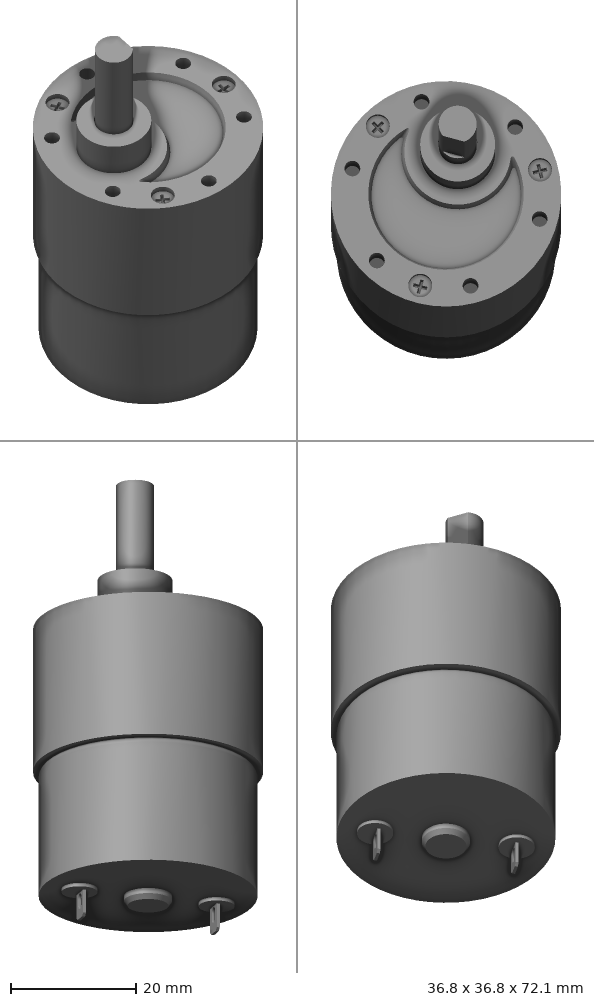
import cadquery as cq


motor_diameter = 35.0
motor_length = 21.0
motor_edge_radius = 1.0
gearbox_diameter = 36.8
gearbox_length = 24.0
gearbox_top = motor_length + gearbox_length

shaft_offset = 7.0
boss_diameter = 12.0
boss_height = 6.0
shaft_diameter = 6.05
shaft_length = 16.0
flat_depth = 0.6
flat_start = 4.0
shaft_clearance = 0.15
clearance_depth = 1.0
boss_top = gearbox_top + boss_height
shaft_top = boss_top + shaft_length

crescent_outer_radius = 12.4
crescent_inner_radius = 8.5
crescent_depth = 1.2
crescent_draft = 0.5
crescent_tip_radius = 0.35

full_turn = 360

hole_circle_radius = 15.5
mounting_hole_count = 6
mounting_hole_diameter = 2.5
mounting_hole_depth = 4.0
screw_count = 3
screw_diameter = 3.8
screw_recess_depth = 1.0
cross_length = 2.3
cross_width = 0.6
cross_depth = 0.7
cross_taper = 15

bearing_diameter = 7.7
bearing_height = 1.65
bearing_chamfer_height = 0.8
bearing_chamfer_width = 0.6

terminal_circle_radius = 11.45
terminal_angle = 34.8
insulator_diameter = 5.8
insulator_height = 0.6
tab_angle = 38.5
tab_inset = 0.3
tab_width = 3.0
tab_thickness = 0.5
tab_corner = 0.5
tab_slot_width = 1.45
tab_slot_length = 2.6
tab_slot_top = 0.8

overall_height = 72.1
long_tab_length = overall_height - shaft_top
tab_length_difference = 0.15
short_tab_length = long_tab_length - tab_length_difference


def cylinder(diameter, height, z, y=0):
    return cq.Workplane("XY", origin=(0, y, z)).circle(diameter / 2).extrude(height)


def motor_can():
    return cylinder(motor_diameter, motor_length, 0).faces(">Z").edges().fillet(motor_edge_radius)


def output_boss():
    boss = cylinder(boss_diameter, boss_height, gearbox_top, y=-shaft_offset)
    clearance = cylinder(
        shaft_diameter + 2 * shaft_clearance, clearance_depth, boss_top - clearance_depth, y=-shaft_offset
    )
    return boss.cut(clearance)


def output_shaft():
    shaft = cylinder(shaft_diameter, shaft_top - gearbox_top, gearbox_top, y=-shaft_offset)
    flat_y = shaft_diameter / 2 - flat_depth - shaft_offset
    flat = cq.Workplane("XY", origin=(0, flat_y, boss_top + flat_start)).box(
        shaft_diameter, 2 * flat_depth, shaft_length, centered=(True, False, False)
    )
    return shaft.cut(flat)


def pocket_cone(floor_radius, top_radius, y=0):
    floor_center = cq.Vector(0, y, gearbox_top - crescent_depth)
    return cq.Workplane(cq.Solid.makeCone(floor_radius, top_radius, crescent_depth, pnt=floor_center))


def crescent_pocket():
    bowl = pocket_cone(crescent_outer_radius - crescent_draft, crescent_outer_radius)
    island = pocket_cone(crescent_inner_radius + crescent_draft, crescent_inner_radius, -shaft_offset)
    crescent = bowl.cut(island)
    edge_margin = crescent_depth / 4
    tips = cq.selectors.BoxSelector(
        (-crescent_outer_radius, -crescent_outer_radius, gearbox_top - crescent_depth + edge_margin),
        (crescent_outer_radius, crescent_outer_radius, gearbox_top - edge_margin),
    )
    return crescent.edges(tips).fillet(crescent_tip_radius)


def cross_socket(z):
    across = cq.Sketch().rect(cross_length, cross_width).rect(cross_width, cross_length).clean()
    return cq.Workplane("XY", origin=(0, 0, z)).placeSketch(across).extrude(-cross_depth, taper=cross_taper)


def screw_recesses():
    floor = gearbox_top - screw_recess_depth
    recess = cylinder(screw_diameter, screw_recess_depth, floor).union(cross_socket(floor))
    recess = recess.translate((0, hole_circle_radius, 0))
    recesses = cq.Workplane("XY")
    for i in range(screw_count):
        recesses = recesses.add(recess.rotate((0, 0, 0), (0, 0, 1), i * full_turn / screw_count))
    return recesses.combine()


def mounting_holes():
    return (
        cq.Workplane("XY", origin=(0, 0, gearbox_top))
        .polarArray(hole_circle_radius, 0, full_turn, mounting_hole_count)
        .circle(mounting_hole_diameter / 2)
        .extrude(-mounting_hole_depth)
    )


def rear_bearing():
    return (
        cylinder(bearing_diameter, bearing_height, -bearing_height)
        .faces("<Z")
        .edges()
        .chamfer(bearing_chamfer_height, bearing_chamfer_width)
    )


def terminal(side_angle, tab_length):
    insulator = cylinder(insulator_diameter, insulator_height, -insulator_height)
    tab = (
        cq.Workplane("XY")
        .box(tab_thickness, tab_width, tab_length, centered=(True, True, False))
        .translate((0, 0, -tab_length))
        .edges("|X and <Z")
        .chamfer(tab_corner)
    )
    slot = (
        cq.Workplane("YZ", origin=(0, 0, -tab_slot_top - tab_slot_length / 2))
        .slot2D(tab_slot_length, tab_slot_width, 90)
        .extrude(tab_thickness, both=True)
    )
    tab = tab.cut(slot).rotate((0, 0, 0), (0, 0, 1), tab_angle - terminal_angle)
    tab = tab.translate((-tab_inset, 0, 0))
    placed = insulator.union(tab).translate((terminal_circle_radius, 0, 0))
    return placed.rotate((0, 0, 0), (0, 0, 1), side_angle)


gearbox = (
    cylinder(gearbox_diameter, gearbox_length, motor_length)
    .cut(crescent_pocket())
    .cut(screw_recesses())
    .cut(mounting_holes())
)

result = gearbox.union(motor_can()).union(output_boss()).union(output_shaft()).union(rear_bearing())
result = result.union(terminal(terminal_angle, long_tab_length))
result = result.union(terminal(terminal_angle + full_turn / 2, short_tab_length))